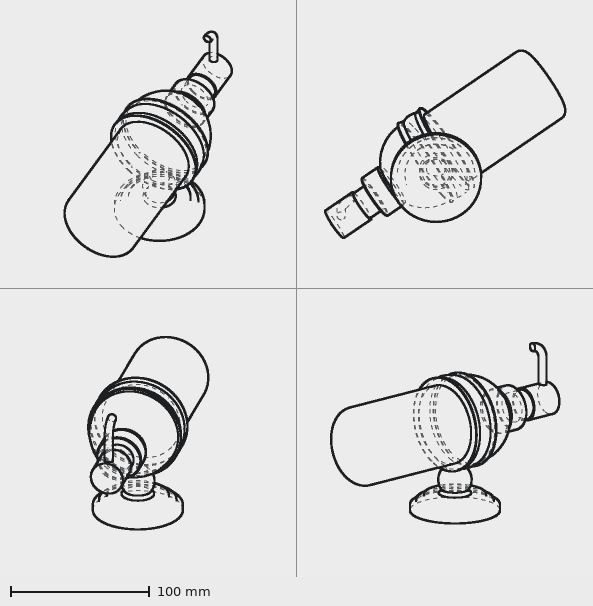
import cadquery as cq
import math

length = 187.0
back_y = 90.7
front_y = back_y - length
bottle_z = 66.5
axis_reach = 1.0

body_radius = 29.0
body_round = 5.8
base_hollow_radius = 22.5

ring_diameter = 69.0
ring_radius = ring_diameter / 2
ring_half_width = 9.7
lip_width = 0.5
bead_half_width = 5.0
groove_radius = 33.5
cove_sag = 0.28

dome_radius = 32.5
neck_radius = 15.9
neck_end_y = 40.0
collar_radius = 16.5
collar_end_y = 54.5
collar_chamfer = 0.5
stem_radius = 10.8
stem_end_y = 65.5
head_radius = 12.0
head_rim_y = 89.4

spout_radius = 3.0
spout_y = 83.6
spout_top_z = 111.0
spout_bend_radius = 9.5

plate_radius = 32.5
plate_top_z = 5.5
plate_round = 1.1
middle_radius = 28.0
middle_foot_radius = 30.0
middle_cove_z = 7.3
middle_top_z = 9.2
middle_round = 0.7
upper_radius = 22.5
upper_foot_radius = 24.3
upper_cove_z = 11.8
upper_top_z = 13.0
upper_round = 1.0
post_foot_radius = 11.8
post_neck_z = 16.3
ball_radius = 12.2
ball_z = 23.2


def quarter_point(center_x, center_y, radius_x, radius_y):
    """Point halfway around a quarter arc; signed radii choose the quadrant."""
    half = math.sqrt(0.5)
    return center_x + radius_x * half, center_y + radius_y * half


def bow_point(start, end, bulge):
    """Midpoint of a chord, shifted in the radial direction by the bulge."""
    return (start[0] + end[0]) / 2 + bulge, (start[1] + end[1]) / 2


def revolve_bottle_profile(profile):
    """Revolve a (radius, y) profile about the bottle axis."""
    turned = profile.close().revolve(360, (0, 0), (0, axis_reach))
    return turned.translate((0, 0, bottle_z))


def make_bottle():
    """Rounded bottle with a hollow base, running back to the ring."""
    rim_center_radius = body_radius - body_round
    rim_center_y = front_y + body_round
    lean = math.asin((rim_center_radius - base_hollow_radius) / body_round)
    rim_inner_y = rim_center_y - body_round * math.cos(lean)
    hollow_depth = base_hollow_radius * math.tan(lean / 2)
    hollow_mid_radius = base_hollow_radius / math.sin(lean) * math.sin(lean / 2)
    hollow_mid_y = rim_inner_y + hollow_depth - hollow_mid_radius * math.tan(lean / 4)
    rim_mid = quarter_point(rim_center_radius, rim_center_y, body_round, -body_round)
    profile = (
        cq.Workplane("XY")
        .moveTo(0, 0)
        .lineTo(body_radius, 0)
        .lineTo(body_radius, rim_center_y)
        .threePointArc(rim_mid, (base_hollow_radius, rim_inner_y))
        .threePointArc((hollow_mid_radius, hollow_mid_y), (0, rim_inner_y + hollow_depth))
    )
    return revolve_bottle_profile(profile)


def make_ring():
    """Ring with a lip at each end, two coves and a central bead."""
    lip_y = ring_half_width - lip_width
    front_lip = (ring_radius, -lip_y)
    front_groove = (groove_radius, -bead_half_width)
    back_groove = (groove_radius, bead_half_width)
    back_lip = (ring_radius, lip_y)
    profile = (
        cq.Workplane("XY")
        .moveTo(0, -ring_half_width)
        .lineTo(ring_radius, -ring_half_width)
        .lineTo(*front_lip)
        .threePointArc(bow_point(front_lip, front_groove, -cove_sag), front_groove)
        .threePointArc((ring_radius, 0), back_groove)
        .threePointArc(bow_point(back_groove, back_lip, -cove_sag), back_lip)
        .lineTo(ring_radius, ring_half_width)
        .lineTo(0, ring_half_width)
    )
    return revolve_bottle_profile(profile)


def make_dome_and_pump():
    """Spherical dome, neck, collar, stem and domed pump head."""
    neck_angle = math.acos(neck_radius / dome_radius)
    dome_mid = (
        dome_radius * math.cos(neck_angle / 2),
        ring_half_width + dome_radius * math.sin(neck_angle / 2),
    )
    dome_end_y = ring_half_width + dome_radius * math.sin(neck_angle)
    head_sag = back_y - head_rim_y
    head_sphere_radius = (head_radius**2 + head_sag**2) / (2 * head_sag)
    crown_radius = head_radius / 2
    crown_y = back_y - head_sphere_radius + math.sqrt(head_sphere_radius**2 - crown_radius**2)
    profile = (
        cq.Workplane("XY")
        .moveTo(0, 0)
        .lineTo(dome_radius, 0)
        .lineTo(dome_radius, ring_half_width)
        .threePointArc(dome_mid, (neck_radius, dome_end_y))
        .lineTo(neck_radius, neck_end_y)
        .lineTo(collar_radius, neck_end_y)
        .lineTo(collar_radius, collar_end_y - collar_chamfer)
        .lineTo(collar_radius - collar_chamfer, collar_end_y)
        .lineTo(stem_radius, collar_end_y)
        .lineTo(stem_radius, stem_end_y)
        .lineTo(head_radius, stem_end_y)
        .lineTo(head_radius, head_rim_y)
        .threePointArc((crown_radius, crown_y), (0, back_y))
    )
    return revolve_bottle_profile(profile)


def make_spout():
    """Round tube rising from the pump head and bending toward -Y."""
    end_z = spout_top_z - spout_radius
    bend_z = end_z - spout_bend_radius
    bend_center_y = spout_y - spout_bend_radius
    bend_mid = quarter_point(bend_center_y, bend_z, spout_bend_radius, spout_bend_radius)
    path = (
        cq.Workplane("YZ")
        .moveTo(spout_y, bottle_z)
        .lineTo(spout_y, bend_z)
        .threePointArc(bend_mid, (bend_center_y, end_z))
    )
    start = cq.Workplane("XY", origin=(0, spout_y, bottle_z))
    return start.circle(spout_radius).sweep(path)


def make_base():
    """Stepped round base with coves, topped by a ball under the ring."""
    ball_neck_radius = math.sqrt(ball_radius**2 - (ball_z - post_neck_z) ** 2)

    def cove_mid(foot_radius, foot_z, top_radius, top_z):
        return quarter_point(foot_radius, top_z, top_radius - foot_radius, foot_z - top_z)

    def rounded_step(outline, radius, top_z, rounding):
        """Continue up a step's side and around its top edge."""
        mid = quarter_point(radius - rounding, top_z - rounding, rounding, rounding)
        outline = outline.lineTo(radius, top_z - rounding)
        return outline.threePointArc(mid, (radius - rounding, top_z))

    def cove(outline, foot_radius, foot_z, top_radius, top_z):
        """Run in to the cove's foot, then curve up to its top."""
        outline = outline.lineTo(foot_radius, foot_z)
        mid = cove_mid(foot_radius, foot_z, top_radius, top_z)
        return outline.threePointArc(mid, (top_radius, top_z))

    outline = cq.Workplane("XZ").moveTo(0, 0).lineTo(plate_radius, 0)
    outline = rounded_step(outline, plate_radius, plate_top_z, plate_round)
    outline = cove(outline, middle_foot_radius, plate_top_z, middle_radius, middle_cove_z)
    outline = rounded_step(outline, middle_radius, middle_top_z, middle_round)
    outline = cove(outline, upper_foot_radius, middle_top_z, upper_radius, upper_cove_z)
    outline = rounded_step(outline, upper_radius, upper_top_z, upper_round)
    outline = cove(outline, post_foot_radius, upper_top_z, ball_neck_radius, post_neck_z)
    outline = outline.threePointArc((ball_radius, ball_z), (0, ball_z + ball_radius))
    return outline.close().revolve(360, (0, 0), (0, axis_reach))


result = (
    make_ring()
    .union(make_bottle())
    .union(make_dome_and_pump())
    .union(make_spout())
    .union(make_base())
)